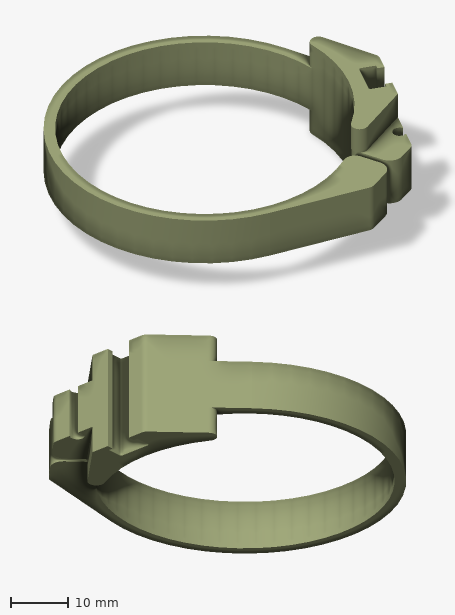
import cadquery as cq
import math

outer_radius = 28.15
inner_radius = 26.15
band_height = 9.1
top_y = 61.5 - outer_radius

mount_height = 19.0
flank_angle = 44
mount_rounding = 1.55
tip_radius = 1.55

jaw_face_distance = 34.25
gap_offset = 6.2
gap_width = 1.0
jaw_outer_rounding = 2.45
jaw_inner_rounding = 2.1
screw_diameter = 3.1
screw_distance = 30.25
screw_embed = 0.6

slot_mouth_width = 4.9
slot_mouth_depth = 1.3
slot_width = 6.6
slot_depth = 4.4
slot_rounding = 0.35

groove_x = 10.4
groove_width = 2.45
groove_depth = 2.2
groove_mouth_width = 1.95
groove_lip = 0.3

flank = math.radians(flank_angle)
flank_tangent = (outer_radius * math.sin(flank), outer_radius * math.cos(flank))
flank_top_x = (outer_radius - top_y * math.cos(flank)) / math.sin(flank)

jaw_corner_x = 25.2
jaw_face_sum = jaw_face_distance * math.sqrt(2)
jaw_corner = (jaw_corner_x, jaw_face_sum - jaw_corner_x)
jaw_top_x = jaw_face_sum - top_y
tangent_angle = math.atan2(jaw_corner[1], jaw_corner[0]) - math.acos(
    outer_radius / math.hypot(*jaw_corner)
)
jaw_tangent = (outer_radius * math.cos(tangent_angle), outer_radius * math.sin(tangent_angle))


def centred_prism(sketch, height):
    """Extrude a sketch equally above and below the XY plane."""
    return sketch.extrude(height / 2, both=True)


def disc(radius, height):
    return centred_prism(cq.Workplane("XY").circle(radius), height)


def box_from_top(x, width, start_depth, end_depth):
    """Full-height block between two depths below the flat top face."""
    depth = end_depth - start_depth
    return (
        cq.Workplane("XY")
        .box(width, depth, mount_height)
        .translate((x, top_y - start_depth - depth / 2, 0))
    )


def vertical_edges_near(x, y, reach=0.3):
    """Selector for upright edges close to a point in plan."""
    return cq.selectors.BoxSelector(
        (x - reach, y - reach, -mount_height), (x + reach, y + reach, mount_height)
    )


def gap_corner(offset, distance):
    """Plan point at given distances across and along the 45 degree line; -offset is up-left."""
    return ((distance + offset) / math.sqrt(2), (distance - offset) / math.sqrt(2))


def make_band():
    """Split ring with its flank and jaws, all of the band height."""
    outline = [
        (0, 0),
        (-flank_tangent[0], flank_tangent[1]),
        (-flank_top_x, top_y),
        (jaw_top_x, top_y),
        jaw_corner,
        jaw_tangent,
    ]
    jaws = centred_prism(cq.Workplane("XY").polyline(outline).close(), band_height)
    band = disc(outer_radius, band_height).union(jaws).cut(disc(inner_radius, band_height))
    gap = (
        cq.Workplane("XY")
        .box(2 * outer_radius, gap_width, band_height)
        .translate((outer_radius, gap_offset, 0))
        .rotate((0, 0, 0), (0, 0, 1), 45)
    )
    band = band.cut(gap)
    for corner in [(-flank_top_x, top_y), (jaw_top_x, top_y), jaw_corner]:
        band = band.edges(vertical_edges_near(*corner)).fillet(mount_rounding)
    for side in (-1, 1):
        offset = -gap_offset + side * gap_width / 2
        inner_distance = math.sqrt(inner_radius**2 - offset**2)
        inner_corner = gap_corner(offset, inner_distance)
        outer_corner = gap_corner(offset, jaw_face_distance)
        band = band.edges(vertical_edges_near(*inner_corner)).fillet(jaw_inner_rounding)
        band = band.edges(vertical_edges_near(*outer_corner)).fillet(jaw_outer_rounding)
    return band


def make_mount_plates():
    """Plates that stand above and below the band, with rounded tips."""
    tip_from_axis = inner_radius + tip_radius
    tip_across = outer_radius - tip_radius
    tip_along = math.sqrt(tip_from_axis**2 - tip_across**2)
    tip_x = tip_across * math.sin(flank) - tip_along * math.cos(flank)
    tip_y = tip_across * math.cos(flank) + tip_along * math.sin(flank)
    inner_angle = math.atan2(tip_y, tip_x)
    middle_angle = (math.pi / 2 - flank + inner_angle - math.pi) / 2

    def tip_point(angle):
        return (
            tip_x + tip_radius * math.cos(angle),
            tip_y + tip_radius * math.sin(angle),
        )

    def mirrored(point):
        return (-point[0], point[1])

    flank_end = tip_point(math.pi / 2 - flank)
    tip_middle = tip_point(middle_angle)
    inner_end = tip_point(inner_angle - math.pi)
    outline = (
        cq.Workplane("XY")
        .moveTo(-flank_top_x, top_y)
        .lineTo(flank_top_x, top_y)
        .lineTo(*flank_end)
        .threePointArc(tip_middle, inner_end)
        .threePointArc((0, inner_radius), mirrored(inner_end))
        .threePointArc(mirrored(tip_middle), mirrored(flank_end))
        .close()
    )
    plates = centred_prism(outline, mount_height)
    plates = plates.edges(vertical_edges_near(-flank_top_x, top_y)).fillet(mount_rounding)
    band_layer = cq.Workplane("XY").box(2 * outer_radius, 2 * top_y, band_height)
    return plates.cut(band_layer)


def make_t_slot():
    mouth = box_from_top(0, slot_mouth_width, 0, slot_mouth_depth)
    chamber = box_from_top(0, slot_width, slot_mouth_depth, slot_depth)
    return mouth.union(chamber.edges("|Z and <Y").fillet(slot_rounding))


def make_groove():
    radius = groove_width / 2
    centre_depth = groove_depth - radius
    mouth = box_from_top(groove_x, groove_mouth_width, 0, groove_lip)
    sides = box_from_top(groove_x, groove_width, groove_lip, centre_depth)
    bottom = disc(radius, mount_height).translate((groove_x, top_y - centre_depth, 0))
    lip = box_from_top(groove_x, groove_width, 0, groove_lip)
    return sides.union(bottom).cut(lip).union(mouth)


def make_screw():
    """Plain shank that bridges the gap between the jaws."""
    length = gap_width + 2 * screw_embed
    return (
        cq.Workplane("XZ")
        .circle(screw_diameter / 2)
        .extrude(length / 2, both=True)
        .translate((screw_distance, gap_offset, 0))
        .rotate((0, 0, 0), (0, 0, 1), 45)
    )


result = (
    make_band()
    .union(make_mount_plates())
    .cut(make_t_slot())
    .cut(make_groove())
    .union(make_screw())
)